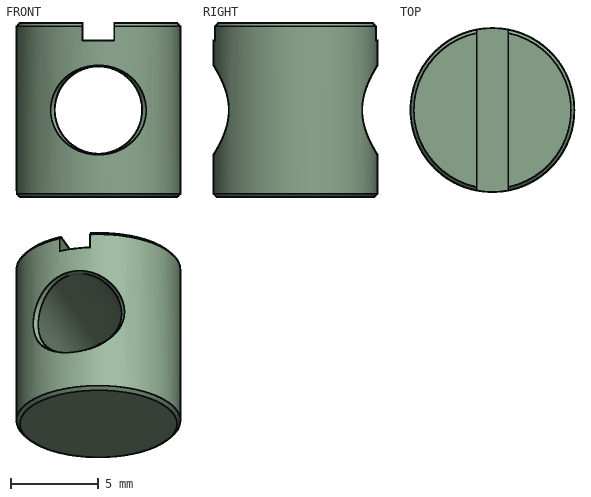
import cadquery as cq
import math

body_diameter = 9.42
body_radius = body_diameter / 2
body_height = 10.0
rim_chamfer = 0.2

slot_width = 1.8
slot_depth = 1.0

hole_diameter = 5.0
hole_radius = hole_diameter / 2
hole_height = body_height / 2

bevel_depth_top = 0.24
bevel_depth_side = 0.36
mouth_half_width = 2.74
mouth_half_height = 2.57

cutter_inner_y = 3.0
cutter_clearance = 0.2
cutter_outer_y = body_radius + cutter_clearance
spline_points = 48


def make_body():
    """Cylinder with both rims chamfered."""
    body = cq.Workplane("XY").circle(body_radius).extrude(body_height)
    return body.faces("<Z or >Z").edges().chamfer(rim_chamfer)


def cut_cross_hole(body):
    """Cut the plain cross hole right through along Y."""
    drill = (
        cq.Workplane("XZ")
        .center(0, hole_height)
        .circle(hole_radius)
        .extrude(body_diameter, both=True)
    )
    return body.cut(drill)


def bevel_line_point(angle, y):
    """Point at this y on the straight bevel line at the given angle around the hole."""
    across = math.cos(angle)
    upward = math.sin(angle)
    inner_x = hole_radius * across
    inner_z = hole_radius * upward
    wall_depth = bevel_depth_side * across**2 + bevel_depth_top * upward**2
    inner_y = math.sqrt(body_radius**2 - inner_x**2) - wall_depth
    outer_x = mouth_half_width * across
    outer_z = mouth_half_height * upward
    outer_y = math.sqrt(body_radius**2 - outer_x**2)
    fraction = (y - inner_y) / (outer_y - inner_y)
    x = inner_x + fraction * (outer_x - inner_x)
    z = inner_z + fraction * (outer_z - inner_z)
    return cq.Vector(x, y, hole_height + z)


def bevel_section(y):
    """Closed curve where the extended bevel surface meets the plane at y."""
    angles = [2 * math.pi * i / spline_points for i in range(spline_points + 1)]
    points = [bevel_line_point(angle, y) for angle in angles[:-1]]
    return cq.Edge.makeSpline(points, periodic=True, parameters=angles)


def make_bevel_cutter():
    """Solid bounded by the bevel surface, for the mouth on the +Y side."""
    inner_section = bevel_section(cutter_inner_y)
    outer_section = bevel_section(cutter_outer_y)
    bevel_surface = cq.Face.makeRuledSurface(inner_section, outer_section)
    inner_end = cq.Face.makeFromWires(cq.Wire.assembleEdges([inner_section]))
    outer_end = cq.Face.makeFromWires(cq.Wire.assembleEdges([outer_section]))
    shell = cq.Shell.makeShell([bevel_surface, inner_end, outer_end])
    return cq.Workplane(cq.Solid.makeSolid(shell).fix())


def bevel_hole_mouths(body):
    """Bevel the hole mouths on the +Y and -Y sides."""
    cutter = make_bevel_cutter()
    return body.cut(cutter).cut(cutter.mirror("XZ"))


def cut_slot(body):
    """Cut the screwdriver slot through the full width of the top."""
    slot = (
        cq.Workplane("XY", origin=(0, 0, body_height - slot_depth))
        .rect(slot_width, 2 * body_diameter)
        .extrude(slot_depth)
    )
    return body.cut(slot)


drilled_body = cut_cross_hole(make_body())
result = cut_slot(bevel_hole_mouths(drilled_body)).solids()